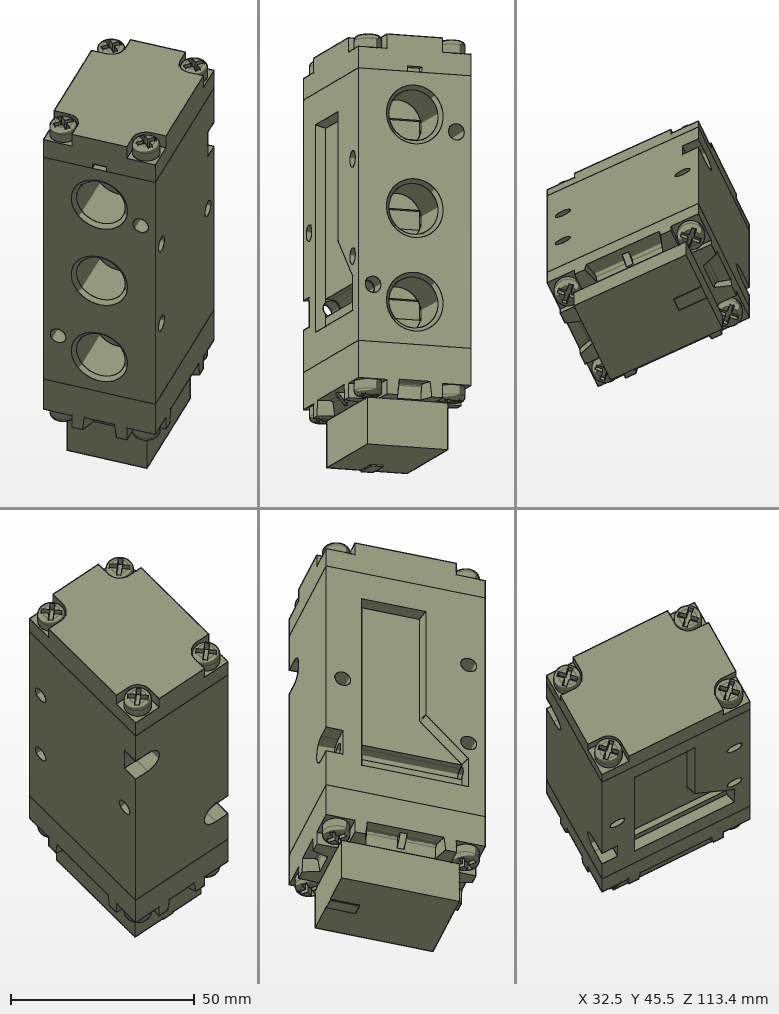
import cadquery as cq
import math

WIDTH = 32.5
DEPTH = 45.5
BODY_HEIGHT = 75.7
TOP_CAP_HEIGHT = 10.0
BOTTOM_CAP_HEIGHT = 14.3
CONNECTOR_HEIGHT = 13.0
LABEL_THICKNESS = 0.4

LEFT = -WIDTH / 2
FRONT = -DEPTH / 2
BACK = DEPTH / 2
BODY_TOP = BODY_HEIGHT / 2
BODY_BOTTOM = -BODY_HEIGHT / 2
CAP_TOP = BODY_TOP + TOP_CAP_HEIGHT
CAP_BOTTOM = BODY_BOTTOM - BOTTOM_CAP_HEIGHT

PORT_PITCH = 26.0
PORT_DIAMETER = 14.1
PORT_CHAMFER = 1.1
PORT_DEPTH = 15.0
PASSAGE_PITCH = 25.0
PASSAGE_HEIGHT = 5.5
PASSAGE_DEPTH = 1.5

MOUNT_DIAMETER = 4.5
LONG_HOLE_X = 12.0
LONG_HOLE_Z = 22.0
SEAT_WIDTH = 8.2
SEAT_DEPTH = 4.8
CROSS_HOLE_Y = 18.0
CROSS_HOLE_Z = 13.5

POCKET_DEPTH = 2.6
POCKET_INSET = 1.0
POCKET_BACK = 12.7
POCKET_FRONT = -17.9
POCKET_BOTTOM = -28.6
POCKET_TOP = 29.0
POCKET_NECK = -5.75
POCKET_BEND = -6.75
POCKET_RIM = [
    (POCKET_BACK, POCKET_TOP),
    (POCKET_NECK, POCKET_TOP),
    (POCKET_NECK, POCKET_BEND),
    (POCKET_FRONT, POCKET_BEND - (POCKET_NECK - POCKET_FRONT)),
    (POCKET_FRONT, POCKET_BOTTOM),
    (POCKET_BACK, POCKET_BOTTOM),
]
CHANNEL_WIDTH = 5.0

SCREW_INSET = 4.25
RECESS_RADIUS = 4.0
RECESS_DEPTH = 4.0
HEAD_DIAMETER = 7.5
HEAD_ROUND = 1.4
DRIVE_LENGTH = 5.6
DRIVE_ARM_WIDTH = 1.3
DRIVE_DEPTH = 3.0

NOTCH_WIDTH = 4.1
NOTCH_HEIGHT = 1.5
NOTCH_DEPTH = 2.0

FINGER_HEIGHT = 4.3
FINGER_DEPTH = 4.0
FINGER_ROUND = 0.9
FINGER_PANEL_LEAN = 0.6
FINGER_FLARE = 0.5
FRONT_FINGER_WIDTH = 8.8
FRONT_FINGER_PANEL_WIDTH = 6.7
SIDE_FINGER_WIDTH = 21.9
SIDE_FINGER_PANEL_WIDTH = 19.8
RIB_WIDTH = 2.0
RIB_HEIGHT = 3.3
RIB_DEPTH = 2.8

CONNECTOR_WIDTH = 23.2
CONNECTOR_DEPTH = 33.7
LABEL_WIDTH = 3.5
LABEL_LENGTH = 8.4

CORNERS = [(sx, sy) for sx in (-1, 1) for sy in (-1, 1)]


def block(width, depth, bottom, height):
    """Box centred on the Z axis, standing on z = bottom."""
    return cq.Workplane("XY", origin=(0, 0, bottom)).rect(width, depth).extrude(height)


def loft_between(first, second):
    """Solid with ruled sides between two closed outlines of 3D points."""
    wires = [cq.Wire.makePolygon([cq.Vector(*p) for p in points], close=True) for points in (first, second)]
    return cq.Workplane(obj=cq.Solid.makeLoft(wires, True))


def port(z):
    mouth = PORT_DIAMETER / 2 + PORT_CHAMFER
    bore = PORT_DIAMETER / 2
    profile = [(0, 0), (mouth, 0), (bore, PORT_CHAMFER), (bore, PORT_DEPTH), (0, PORT_DEPTH)]
    half_section = cq.Workplane("XY", origin=(0, FRONT, z)).polyline(profile).close()
    return half_section.revolve(360, (0, 0, 0), (0, 1, 0))


def passage(z):
    return cq.Workplane("XY").box(PORT_DIAMETER, PASSAGE_DEPTH, PASSAGE_HEIGHT).translate(
        (0, FRONT + PORT_DEPTH + PASSAGE_DEPTH / 2, z)
    )


def long_hole(side):
    """Mounting hole along Y with a head seat that is open to the nearer side face."""
    x, z = side * LONG_HOLE_X, side * LONG_HOLE_Z
    hole = cq.Workplane("XZ", origin=(x, BACK, z)).circle(MOUNT_DIAMETER / 2).extrude(DEPTH)
    seat = cq.Workplane("XZ", origin=(x, BACK, z)).circle(SEAT_WIDTH / 2).extrude(SEAT_DEPTH)
    reach = WIDTH / 2 - LONG_HOLE_X
    opening = cq.Workplane("XY").box(reach, SEAT_DEPTH, SEAT_WIDTH).translate(
        (x + side * reach / 2, BACK - SEAT_DEPTH / 2, z)
    )
    return hole.union(seat).union(opening)


def side_pocket():
    draft = math.degrees(math.atan(POCKET_INSET / POCKET_DEPTH))
    rim = cq.Workplane("YZ", origin=(LEFT, 0, 0)).polyline(POCKET_RIM).close()
    return rim.extrude(POCKET_DEPTH, taper=draft)


def pocket_channel():
    start = POCKET_BACK - POCKET_INSET
    length = start - (POCKET_FRONT + POCKET_INSET)
    origin = (-LONG_HOLE_X, start, -LONG_HOLE_Z)
    end = cq.Workplane("XZ", origin=origin)
    groove = end.circle(CHANNEL_WIDTH / 2).extrude(length)
    reach = WIDTH / 2 - LONG_HOLE_X
    opening = end.center(-reach / 2, 0).rect(reach, CHANNEL_WIDTH).extrude(length)
    return groove.union(opening)


def make_body():
    body = block(WIDTH, DEPTH, BODY_BOTTOM, BODY_HEIGHT)
    for step in (-1, 0, 1):
        body = body.cut(port(step * PORT_PITCH)).cut(passage(step * PASSAGE_PITCH))
    for side in (-1, 1):
        body = body.cut(long_hole(side))
    cross_holes = [(-CROSS_HOLE_Y, CROSS_HOLE_Z), (-CROSS_HOLE_Y, -CROSS_HOLE_Z), (CROSS_HOLE_Y, 0)]
    drills = cq.Workplane("YZ", origin=(LEFT, 0, 0)).pushPoints(cross_holes).circle(MOUNT_DIAMETER / 2)
    body = body.cut(drills.extrude(WIDTH))
    return body.cut(side_pocket()).cut(pocket_channel())


def corner_recess(sx, sy):
    """Recess above z = 0 in one corner, rounded around the screw axis."""
    reach = SCREW_INSET + RECESS_RADIUS
    square = cq.Workplane("XY").rect(reach, reach).extrude(RECESS_DEPTH)
    square = square.translate((sx * (WIDTH - reach) / 2, sy * (DEPTH - reach) / 2, 0))
    inner_corner = (sx * (WIDTH / 2 - reach), sy * (DEPTH / 2 - reach), RECESS_DEPTH / 2)
    return square.edges("|Z").edges(cq.NearestToPointSelector(inner_corner)).fillet(RECESS_RADIUS)


def screw_head(sx, sy):
    """Round screw head standing on z = 0."""
    head = cq.Workplane("XY").circle(HEAD_DIAMETER / 2).extrude(RECESS_DEPTH)
    head = head.faces(">Z").edges().fillet(HEAD_ROUND)
    arm = block(DRIVE_LENGTH, DRIVE_ARM_WIDTH, RECESS_DEPTH - DRIVE_DEPTH, DRIVE_DEPTH)
    for angle in (45, 135):
        head = head.cut(arm.rotate((0, 0, 0), (0, 0, 1), angle))
    return head.translate((sx * (WIDTH / 2 - SCREW_INSET), sy * (DEPTH / 2 - SCREW_INSET), 0))


def screwed_cap(height):
    """Cap with its outer face up at z = RECESS_DEPTH and a screw in each corner."""
    cap = block(WIDTH, DEPTH, RECESS_DEPTH - height, height)
    for corner in CORNERS:
        cap = cap.cut(corner_recess(*corner)).union(screw_head(*corner))
    return cap


def make_top_cap():
    cap = screwed_cap(TOP_CAP_HEIGHT).translate((0, 0, CAP_TOP - RECESS_DEPTH))
    notch = cq.Workplane("XY").box(NOTCH_WIDTH, NOTCH_DEPTH, NOTCH_HEIGHT)
    return cap.cut(notch.translate((0, FRONT + NOTCH_DEPTH / 2, BODY_TOP + NOTCH_HEIGHT / 2)))


def finger_recess(face, width, panel_width):
    """Recess open downward, in a face at y = face that looks toward -Y."""
    ceiling = CAP_BOTTOM + FINGER_HEIGHT
    half, panel_half = width / 2, panel_width / 2
    panel_foot = face + FINGER_DEPTH + FINGER_PANEL_LEAN
    opening = [
        (-half - FINGER_FLARE, face, CAP_BOTTOM),
        (half + FINGER_FLARE, face, CAP_BOTTOM),
        (half, face, ceiling),
        (-half, face, ceiling),
    ]
    panel = [
        (-panel_half, panel_foot, CAP_BOTTOM),
        (panel_half, panel_foot, CAP_BOTTOM),
        (panel_half, face + FINGER_DEPTH, ceiling),
        (-panel_half, face + FINGER_DEPTH, ceiling),
    ]
    inner_edge = cq.NearestToPointSelector((0, face + FINGER_DEPTH, ceiling))
    return loft_between(opening, panel).edges(inner_edge).fillet(FINGER_ROUND)


def side_rib():
    """Wedge in the left recess, under its ceiling and against its back panel."""
    ceiling = CAP_BOTTOM + FINGER_HEIGHT
    foot = ceiling - RIB_HEIGHT
    back = LEFT + FINGER_DEPTH + FINGER_PANEL_LEAN
    slope_end = LEFT + FINGER_DEPTH + FINGER_PANEL_LEAN * RIB_HEIGHT / FINGER_HEIGHT
    profile = [(slope_end - RIB_DEPTH, ceiling), (back, ceiling), (back, foot), (slope_end, foot)]
    return cq.Workplane("XZ", origin=(0, RIB_WIDTH / 2, 0)).polyline(profile).close().extrude(RIB_WIDTH)


def make_bottom_cap():
    cap = screwed_cap(BOTTOM_CAP_HEIGHT).rotate((0, 0, 0), (1, 0, 0), 180)
    cap = cap.translate((0, 0, CAP_BOTTOM + RECESS_DEPTH))
    front_recess = finger_recess(FRONT, FRONT_FINGER_WIDTH, FRONT_FINGER_PANEL_WIDTH)
    left_recess = finger_recess(LEFT, SIDE_FINGER_WIDTH, SIDE_FINGER_PANEL_WIDTH)
    left_recess = left_recess.rotate((0, 0, 0), (0, 0, 1), -90).cut(side_rib())
    for angle in (0, 180):
        for recess in (front_recess, left_recess):
            cap = cap.cut(recess.rotate((0, 0, 0), (0, 0, 1), angle))
    return cap


def make_connector():
    bottom = CAP_BOTTOM - CONNECTOR_HEIGHT
    connector = block(CONNECTOR_WIDTH, CONNECTOR_DEPTH, bottom, CONNECTOR_HEIGHT)
    label = block(LABEL_WIDTH, LABEL_LENGTH, bottom - LABEL_THICKNESS, LABEL_THICKNESS)
    return connector.union(label.translate((0, (CONNECTOR_DEPTH - LABEL_LENGTH) / 2, 0)))


body = make_body()
top_cap = make_top_cap()
bottom_cap = make_bottom_cap()
connector = make_connector()

result = cq.Compound.makeCompound([body.val(), top_cap.val(), bottom_cap.val(), connector.val()])